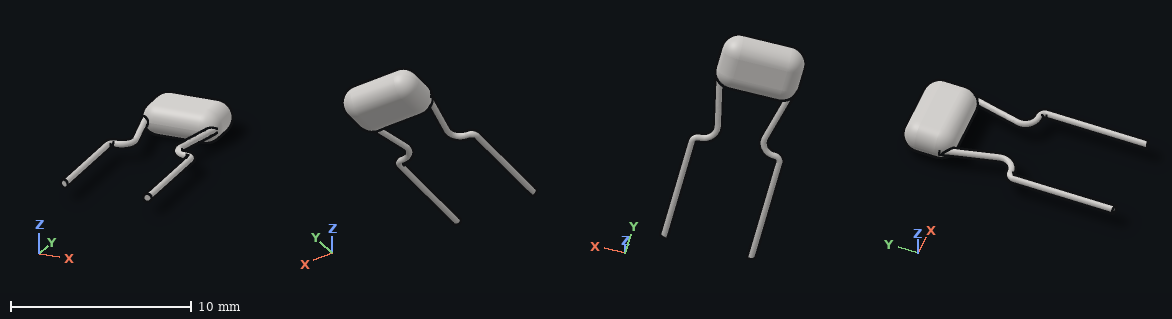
import cadquery as cq
import math

total_length = 13.01
housing_width = 4.8
housing_length = 3.2
housing_thickness = 2.0
face_flat_margin = 0.001
edge_radius = housing_thickness / 2 - face_flat_margin

wire_diameter = 0.5
wire_radius = wire_diameter / 2
lead_pitch = 5.02
leg_pitch = 2.7
splay_angle = 13.0
lower_bend_radius = 0.35
leg_top_y = -0.85
leg_bottom_y = -4.1
bend_joint_y = -5.01

splay = math.radians(splay_angle)
upper_turn = 90 + splay_angle
lower_turn = 90.0

leg_bottom_x = -leg_pitch / 2
leg_top_x = leg_bottom_x - (leg_top_y - leg_bottom_y) * math.tan(splay)
tail_x = -lead_pitch / 2
bend_joint_x = tail_x + lower_bend_radius
tail_top_y = bend_joint_y - lower_bend_radius
tail_end_y = housing_length / 2 - total_length + wire_radius * math.sin(splay)


def arc_center(start, end, clockwise_turn):
    """Centre of the arc that runs clockwise from start to end through a turn in degrees."""
    half_dx = (end[0] - start[0]) / 2
    half_dy = (end[1] - start[1]) / 2
    reach = 1 / math.tan(math.radians(clockwise_turn / 2))
    return start[0] + half_dx + half_dy * reach, start[1] + half_dy - half_dx * reach


upper_center = arc_center((leg_bottom_x, leg_bottom_y), (bend_joint_x, bend_joint_y), upper_turn)
lower_center = (bend_joint_x, tail_top_y)


def wire_section(x, y):
    """Round wire section lying across Y, centred at (x, y, 0)."""
    plane = cq.Plane(origin=(x, y, 0), xDir=(0, 0, 1), normal=(0, 1, 0))
    return cq.Face.makeFromWires(cq.Workplane(plane).circle(wire_radius).wires().val())


def z_axis_at(center):
    """Two points on the line parallel to Z through a bend centre."""
    return cq.Vector(*center, 0), cq.Vector(*center, 0.13)


def make_left_lead():
    """Lead on the -X side: the section is carried rigidly along leg, two bends and tail."""
    section = wire_section(leg_bottom_x, leg_bottom_y)
    leg_run = cq.Vector(leg_top_x - leg_bottom_x, leg_top_y - leg_bottom_y, 0)
    leg = cq.Solid.extrudeLinear(section, leg_run)

    upper_axis = z_axis_at(upper_center)
    upper_bend = cq.Solid.revolve(section, -upper_turn, *upper_axis)
    section = section.rotate(*upper_axis, -upper_turn)

    lower_axis = z_axis_at(lower_center)
    lower_bend = cq.Solid.revolve(section, lower_turn, *lower_axis)
    section = section.rotate(*lower_axis, lower_turn)

    tail = cq.Solid.extrudeLinear(section, cq.Vector(0, tail_end_y - tail_top_y, 0))

    lead = cq.Workplane(leg)
    for piece in (upper_bend, lower_bend, tail):
        lead = lead.union(cq.Workplane(piece))
    return lead


def make_housing():
    """Pillow-shaped block, rounded on every edge."""
    block = cq.Workplane().box(housing_width, housing_length, housing_thickness)
    return block.edges().fillet(edge_radius)


left_lead = make_left_lead()
right_lead = left_lead.mirror("YZ")

housing = make_housing().cut(left_lead).union(right_lead)

result = cq.Compound.makeCompound([housing.solids().val(), left_lead.solids().val()])